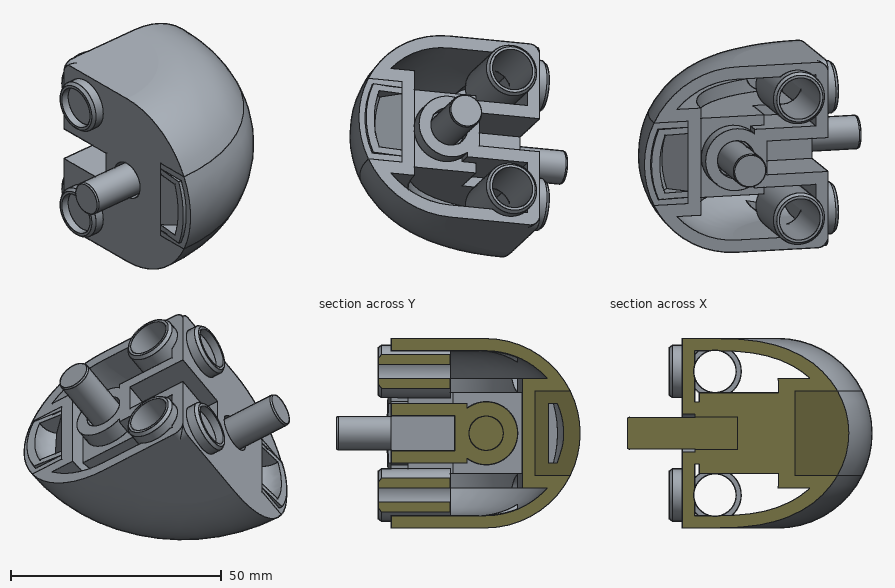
import cadquery as cq
import math


clearance = 0.6

half_height = 22.5
flat_radius = 22.5
wall = 3.0
outer_radius = flat_radius + half_height
corner_relief = 2.5

band_inner_radius = 34.3
band_half_height = 10.0
lug_inset = 1.5
lug_rise = 1.0
window_inset = 3.5
window_border = 3.0
window_half_height = band_half_height - window_border
lug_length = outer_radius - lug_inset - band_inner_radius
pocket_angle = 45.0

backing_wall = 3.1
backing_radius = band_inner_radius - backing_wall
backing_half_height = band_half_height + wall

core_half_height = 9.6
core_setback = 4.0

slot_depth = 15.0
slot_half_height = 4.1
slot_box_depth = slot_depth + wall
slot_box_half_height = slot_half_height + wall

pin_radius = 4.0
pin_offset = flat_radius
pin_projection = 13.0
pin_seat_depth = 13.0
pin_chamfer_length = 0.45
pin_chamfer_depth = 0.2
boss_radius = 7.5
recess_radius = pin_radius + clearance
recess_depth = 3.0

tube_offset = 7.75
tube_height = 14.65
tube_radius = 6.25
tube_bore_radius = 5.0
tube_projection = 3.1
tube_chamfer_length = 0.8
tube_chamfer_depth = 0.6
tube_bore_depth = 29.9
socket_depth = 2.0
tube_inner_length = tube_offset + tube_radius
notch_size = tube_inner_length + clearance


def block(x, y, half_z):
    """Box from the point (x[0], y[0]) to (x[1], y[1]), centred on Z = 0."""
    length = x[1] - x[0]
    width = y[1] - y[0]
    box = cq.Workplane("XY").box(length, width, 2 * half_z, centered=(False, False, True))
    return box.translate((x[0], y[0], 0))


def corner_block(size, half_z):
    """Square box that starts at the corner edge."""
    return block((0, size), (0, size), half_z)


def quarter(profile):
    """Turn an XZ profile a quarter turn from the X axis to the Y axis."""
    return profile.revolve(90, (0, 0, 0), (0, 1, 0))


def quarter_disc(radius, half_z):
    return quarter(cq.Workplane("XZ").rect(radius, 2 * half_z, centered=(False, True)))


def quarter_dome(inset):
    """Quarter turn of the housing outline, offset inward."""
    top = half_height - inset
    profile = (
        cq.Workplane("XZ")
        .moveTo(0, -top)
        .lineTo(flat_radius, -top)
        .threePointArc((flat_radius + top, 0), (flat_radius, top))
        .lineTo(0, top)
        .close()
    )
    return quarter(profile)


def rim_section(inset, half_z):
    """XZ outline outside the groove floor, bounded by the inset rim arc and a height of half_z."""
    arc_radius = half_height - inset
    arc_end = flat_radius + math.sqrt(arc_radius**2 - half_z**2)
    return (
        cq.Workplane("XZ")
        .moveTo(band_inner_radius, -half_z)
        .lineTo(arc_end, -half_z)
        .threePointArc((flat_radius + arc_radius, 0), (arc_end, half_z))
        .lineTo(band_inner_radius, half_z)
        .close()
    )


def rod(face, across, z, start, end, radius):
    """Cylinder square to a mating face; start and end are depths below that face."""
    if face == "X":
        base, axis = cq.Vector(start, across, z), cq.Vector(1, 0, 0)
    else:
        base, axis = cq.Vector(across, start, z), cq.Vector(0, 1, 0)
    return cq.Workplane(cq.Solid.makeCylinder(radius, end - start, base, axis))


def swapped(shape):
    """The same shape on the other mating face, mirrored about the corner diagonal."""
    return shape.mirror(cq.Vector(1, -1, 0))


def corner_cut():
    """Mitred relief at the top end of the corner edge."""
    size = corner_relief

    def arch(plane, direction):
        return (
            cq.Workplane(plane)
            .moveTo(0, half_height - size)
            .radiusArc((size, half_height), size)
            .lineTo(0, half_height)
            .close()
            .extrude(direction * size)
        )

    return arch("XZ", -1).intersect(arch("YZ", 1))


def tube(face, z, inner_end):
    body = rod(face, tube_offset, z, -tube_projection, inner_end, tube_radius)
    return body.faces("<" + face).chamfer(tube_chamfer_length, tube_chamfer_depth)


def make_shell():
    """Quarter dome with the band groove in its rim."""
    return quarter_dome(0).cut(quarter(rim_section(0, band_half_height)))


def make_cavity():
    """Hollow open at X = 0, leaving a wall along Y = 0 and a backing wall behind the groove."""
    span = (0, outer_radius)
    backing = quarter_disc(outer_radius, backing_half_height)
    backing = backing.cut(quarter_disc(backing_radius, backing_half_height))
    return quarter_dome(wall).intersect(block(span, (wall, outer_radius), half_height)).cut(backing)


def make_core():
    """Block inside the cavity, notched at the corner to clear the tubes."""
    span = (core_setback, outer_radius)
    core = quarter_disc(backing_radius, core_half_height).intersect(block(span, span, core_half_height))
    return core.cut(corner_block(notch_size, core_half_height))


def make_housing():
    body = make_shell().cut(make_cavity()).union(make_core())
    body = body.union(corner_block(slot_box_depth, slot_box_half_height))
    for face in ("X", "Y"):
        body = body.union(rod(face, pin_offset, 0, 0, core_setback, boss_radius))
    body = body.cut(corner_block(slot_depth, slot_half_height))

    socket_floor = socket_depth - tube_projection
    for z in (-tube_height, tube_height):
        body = body.union(tube("X", z, tube_inner_length)).union(tube("Y", z, wall))
        for face, bore_end in (("X", tube_bore_depth), ("Y", socket_floor)):
            body = body.cut(rod(face, tube_offset, z, -tube_projection, bore_end, tube_bore_radius))

    for face in ("X", "Y"):
        body = body.cut(rod(face, pin_offset, 0, 0, recess_depth, recess_radius))
        body = body.cut(rod(face, pin_offset, 0, 0, pin_seat_depth, pin_radius))

    relief = corner_cut()
    return body.cut(relief).cut(relief.mirror("XY"))


def make_lug():
    """Wedge that rises from the Y = 0 face toward the rim."""
    lug_tip = band_inner_radius + lug_length
    wedge = (
        cq.Workplane("XY")
        .polyline([(band_inner_radius, 0), (lug_tip, -lug_rise), (lug_tip, 0)])
        .close()
        .extrude(band_half_height, both=True)
    )
    return rim_section(lug_inset, band_half_height - lug_inset).extrude(lug_rise).intersect(wedge)


def make_pocket():
    """Window section swung from the lug face into the band, about the inner edge of the lug."""
    lug_slope = math.degrees(math.atan2(lug_rise, lug_length))
    section = rim_section(window_inset, window_half_height)
    hinge = (band_inner_radius, 0, 0)
    swept = section.revolve(pocket_angle + lug_slope, hinge, (band_inner_radius, 1, 0))
    return swept.rotate(hinge, (band_inner_radius, 0, 1), -lug_slope)


def make_band():
    lug = make_lug()
    pocket = make_pocket()
    body = quarter(rim_section(0, band_half_height))
    body = body.union(lug).union(swapped(lug))
    return body.cut(pocket).cut(swapped(pocket))


def make_pin(face):
    body = rod(face, pin_offset, 0, -pin_projection, pin_seat_depth, pin_radius)
    return body.faces("<" + face).chamfer(pin_chamfer_length, pin_chamfer_depth)


housing = make_housing()
band = make_band()
pins = [make_pin(face) for face in ("X", "Y")]

result = cq.Compound.makeCompound([housing.val(), band.val(), *[pin.val() for pin in pins]])